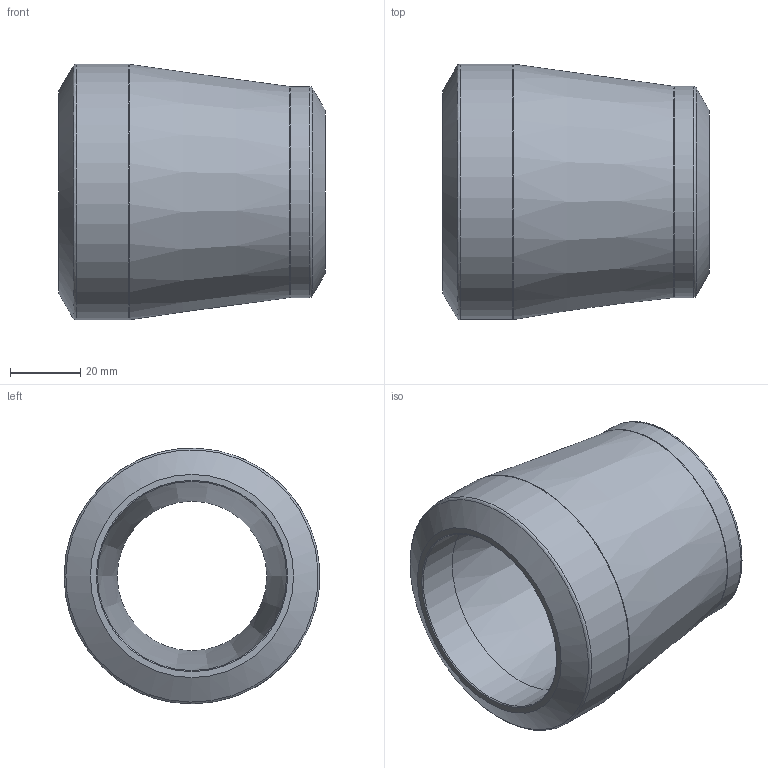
import cadquery as cq
import math

LENGTH = 76.0

LARGE_OUTER_DIAMETER = 73.0
LARGE_BORE_DIAMETER = 54.0
LARGE_STRAIGHT_LENGTH = 20.0
LARGE_BORE_STRAIGHT_LENGTH = 12.0

SMALL_OUTER_DIAMETER = 60.3
SMALL_BORE_DIAMETER = 42.7
SMALL_STRAIGHT_LENGTH = 10.0

ROOT_FACE = 2.0
BEVEL_ANGLE = 30.0
BEVEL_EDGE_RADIUS = 1.0
CONE_EDGE_RADIUS = 1.0
BORE_EDGE_RADIUS = 0.3

MATCH_TOLERANCE = 0.001

large_outer_radius = LARGE_OUTER_DIAMETER / 2
large_bore_radius = LARGE_BORE_DIAMETER / 2
small_outer_radius = SMALL_OUTER_DIAMETER / 2
small_bore_radius = SMALL_BORE_DIAMETER / 2
cone_start = LARGE_STRAIGHT_LENGTH
cone_end = LENGTH - SMALL_STRAIGHT_LENGTH


def bevel_length(outer_radius, bore_radius):
    """Axial length of the bevel from the root face to the outside."""
    bevel_height = outer_radius - bore_radius - ROOT_FACE
    return bevel_height * math.tan(math.radians(BEVEL_ANGLE))


large_bevel_end = bevel_length(large_outer_radius, large_bore_radius)
small_bevel_start = LENGTH - bevel_length(small_outer_radius, small_bore_radius)


def make_sharp_reducer():
    """Revolve the wall section, given as (axial, radial) points, about X."""
    wall_section = [
        (0, large_bore_radius),
        (0, large_bore_radius + ROOT_FACE),
        (large_bevel_end, large_outer_radius),
        (cone_start, large_outer_radius),
        (cone_end, small_outer_radius),
        (small_bevel_start, small_outer_radius),
        (LENGTH, small_bore_radius + ROOT_FACE),
        (LENGTH, small_bore_radius),
        (cone_end, small_bore_radius),
        (LARGE_BORE_STRAIGHT_LENGTH, large_bore_radius),
    ]
    return cq.Workplane("XY").polyline(wall_section).close().revolve(360, (0, 0, 0), (1, 0, 0))


def round_edge(body, axial, edge_radius, rounding):
    """Round the circular edge with the given axial position and radius."""

    def is_wanted(edge):
        on_plane = math.isclose(edge.Center().x, axial, abs_tol=MATCH_TOLERANCE)
        return on_plane and math.isclose(edge.radius(), edge_radius, abs_tol=MATCH_TOLERANCE)

    return body.edges("%CIRCLE").filter(is_wanted).fillet(rounding)


rounded_edges = [
    (large_bevel_end, large_outer_radius, BEVEL_EDGE_RADIUS),
    (small_bevel_start, small_outer_radius, BEVEL_EDGE_RADIUS),
    (cone_start, large_outer_radius, CONE_EDGE_RADIUS),
    (cone_end, small_outer_radius, CONE_EDGE_RADIUS),
    (0, large_bore_radius, BORE_EDGE_RADIUS),
    (LENGTH, small_bore_radius, BORE_EDGE_RADIUS),
]

result = make_sharp_reducer()
for axial_position, circle_radius, rounding_radius in rounded_edges:
    result = round_edge(result, axial_position, circle_radius, rounding_radius)